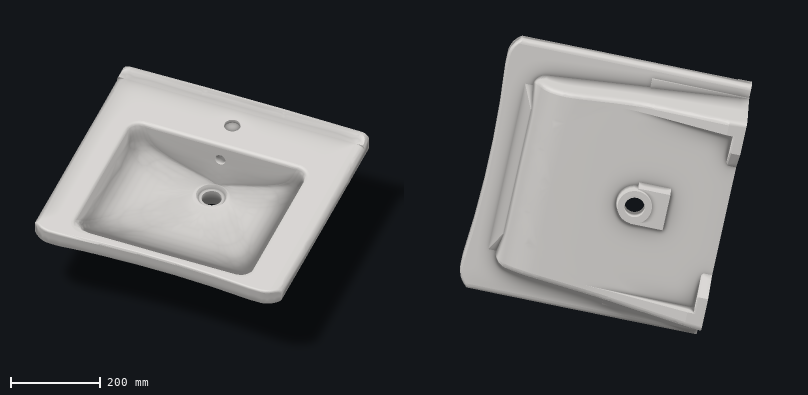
import cadquery as cq


HALF_WIDTH = 300.0
DEPTH = 549.5
HEIGHT = 180.5

MARGIN = 6.0
PICK = 0.5

DECK_Z = -12.0
ROLL_Z = -34.0
RIM_BOTTOM_Z = -53.0
DECK_HALF_WIDTH = 276.0
RIM_FOOT_HALF_WIDTH = 287.0
BACK_HALF_WIDTH = 297.5
FRONT_CORNER_Y = -527.0
CORNER_END_X = 252.0
RECESS_HALF_WIDTH = 228.0
FRONT_RECESS = 11.0
FRONT_EDGE_RADIUS = 5.5

RIDGE_THICKNESS = 5.0
RIDGE_FOOT = 32.0
RIDGE_END_DROP = 3.0
RIDGE_SLOPE = (-0.5, -1)

BODY_TOP_Z = RIM_BOTTOM_Z + MARGIN
BODY_BACK_HALF_WIDTH = 270.0
BODY_FRONT_HALF_WIDTH = 225.5
BODY_FRONT_Y = -481.0
SIDE_DRAFT = 21.0
BOWL_BOTTOM_Z = -134.0
LEG_FOOT_LENGTH = 39.0
LEG_TOP = (-216.0, -141.0)
BOWL_UNDERSIDE = [
    (-276.0, BOWL_BOTTOM_Z), (-360.0, -133.0), (-427.0, -125.0), (-458.0, -104.5), (-475.0, -69.0),
]
BODY_CORNER_RADIUS = 30.0
BODY_EDGE_RADIUS = 12.0
BODY_EDGE_TOP_Z = -114.0

LEG_INNER_X = 212.0
BACK_WALL = 24.0
LEG_SPACE_END_Y = -300.0
OPENING_BOTTOM_X = 172.0
OPENING_TOP_X = 129.0
OPENING_CHAMFER = 3.5

WEB_TOP_HALF_WIDTH = 198.0
WEB_BOTTOM_HALF_WIDTH = 150.0
WEB_FRONT_Y = -498.0
WEB_FOOT_Y = -475.0
WEB_BACK_Y = -456.0
WEB_BOTTOM_Z = -76.0
LEDGE_LENGTH = 222.0
LEDGE_BOTTOM_Z = -58.0

BOWL_SECTIONS = [
    (DECK_Z, 216.5, -150.0, -523.0, 27.0),
    (-42.0, 207.5, -153.5, -493.0, 33.0),
    (-74.5, 186.0, -157.0, -450.0, 42.0),
    (-101.0, 123.0, -162.0, -366.0, 54.0),
    (-119.0, 42.0, -168.0, -246.0, 36.0),
]
BOWL_LIP_RADIUS = 9.5

DRAIN_Y = -205.0
DRAIN_RADIUS = 23.0
DRAIN_SEAT_RADIUS = 38.0
DRAIN_SEAT_FLOOR_RADIUS = 30.0
DRAIN_SEAT_Z = -127.0
DRAIN_SEAT_TOP_Z = -116.0
BOSS_RADIUS = 38.5
BOSS_TOP_RADIUS = 42.0
BOSS_BOTTOM_Z = -168.0
BOSS_OVERLAP = 3.0
CHANNEL_HALF_WIDTH = 50.0
CHANNEL_FOOT_HALF_WIDTH = 42.0
CHANNEL_BACK_Y = -132.0
CHANNEL_BOTTOM_Z = -158.5
OVERFLOW_DIAMETER = 25.0
OVERFLOW_Z = -53.0
OVERFLOW_BACK_Y = -132.0
OVERFLOW_LENGTH = 30.0
TAP_Y = -81.5
TAP_DIAMETER = 37.0
TAP_DEPTH = 9.0


def rim_plan():
    """Plan outline of the rim: bulged sides, rounded corners, recessed front."""
    return (
        cq.Workplane("XY").workplane(offset=-HEIGHT)
        .moveTo(-BACK_HALF_WIDTH, 0)
        .lineTo(BACK_HALF_WIDTH, 0)
        .threePointArc((HALF_WIDTH, FRONT_CORNER_Y / 2), (BACK_HALF_WIDTH, FRONT_CORNER_Y))
        .spline([(CORNER_END_X, -DEPTH)], tangents=[(-1, -1), (-1, 0)], includeCurrent=True)
        .lineTo(RECESS_HALF_WIDTH, -DEPTH)
        .threePointArc((0, FRONT_RECESS - DEPTH), (-RECESS_HALF_WIDTH, -DEPTH))
        .lineTo(-CORNER_END_X, -DEPTH)
        .spline([(-BACK_HALF_WIDTH, FRONT_CORNER_Y)], tangents=[(-1, 0), (-1, 1)], includeCurrent=True)
        .threePointArc((-HALF_WIDTH, FRONT_CORNER_Y / 2), (-BACK_HALF_WIDTH, 0))
        .close()
        .extrude(HEIGHT)
    )


def rolled_section(edge_z, crown_z, length):
    """Bar along -Y with rolled sides; its top arches from edge_z up to crown_z."""
    section = cq.Workplane("XZ").moveTo(-DECK_HALF_WIDTH, edge_z)
    if crown_z > edge_z:
        section = section.threePointArc((0, crown_z), (DECK_HALF_WIDTH, edge_z))
    else:
        section = section.lineTo(DECK_HALF_WIDTH, edge_z)
    return (
        section
        .spline([(HALF_WIDTH, ROLL_Z)], tangents=[(1, 0), (0, -1)], includeCurrent=True)
        .spline([(RIM_FOOT_HALF_WIDTH, RIM_BOTTOM_Z)], tangents=[(0, -1), (-1, 0)], includeCurrent=True)
        .lineTo(-RIM_FOOT_HALF_WIDTH, RIM_BOTTOM_Z)
        .spline([(-HALF_WIDTH, ROLL_Z)], tangents=[(-1, 0), (0, 1)], includeCurrent=True)
        .spline([(-DECK_HALF_WIDTH, edge_z)], tangents=[(0, 1), (1, 0)], includeCurrent=True)
        .close()
        .extrude(length)
    )


def rim():
    plan = rim_plan()
    slab = rolled_section(DECK_Z, DECK_Z, DEPTH).intersect(plan)
    front_edges = cq.selectors.BoxSelector(
        (-RECESS_HALF_WIDTH - MARGIN, -DEPTH - MARGIN, RIM_BOTTOM_Z - PICK),
        (RECESS_HALF_WIDTH + MARGIN, FRONT_CORNER_Y - MARGIN, DECK_Z + PICK),
    )
    slab = slab.edges(front_edges).edges("not |Z").fillet(FRONT_EDGE_RADIUS)
    ridge_profile = (
        cq.Workplane("YZ").workplane(offset=-HALF_WIDTH)
        .moveTo(0, RIM_BOTTOM_Z)
        .lineTo(0, 0)
        .lineTo(-RIDGE_THICKNESS, 0)
        .spline([(-RIDGE_FOOT, DECK_Z)], tangents=[RIDGE_SLOPE, (-1, 0)], includeCurrent=True)
        .lineTo(-RIDGE_FOOT, RIM_BOTTOM_Z)
        .close()
        .extrude(2 * HALF_WIDTH)
    )
    ridge = rolled_section(-RIDGE_END_DROP, 0, RIDGE_FOOT).intersect(ridge_profile).intersect(plan)
    return slab.union(ridge)


def body_plan(workplane, inset):
    back_x = BODY_BACK_HALF_WIDTH - inset
    front_x = BODY_FRONT_HALF_WIDTH - inset
    return workplane.polyline(
        [(-back_x, 0), (back_x, 0), (front_x, BODY_FRONT_Y), (-front_x, BODY_FRONT_Y)]
    ).close()


def body():
    """Drafted body with a sloping underside, hollow between its legs."""
    envelope = body_plan(cq.Workplane("XY").workplane(offset=BODY_TOP_Z), 0)
    envelope = body_plan(envelope.workplane(offset=-HEIGHT - BODY_TOP_Z), SIDE_DRAFT).loft(ruled=True)
    front_corners = cq.selectors.BoxSelector(
        (-HALF_WIDTH, BODY_FRONT_Y - MARGIN, -HEIGHT + MARGIN),
        (HALF_WIDTH, BODY_FRONT_Y + MARGIN, BODY_TOP_Z - MARGIN),
    )
    envelope = envelope.edges(front_corners).fillet(BODY_CORNER_RADIUS)
    side_profile = (
        cq.Workplane("YZ").workplane(offset=-HALF_WIDTH)
        .moveTo(0, BODY_TOP_Z)
        .lineTo(0, -HEIGHT)
        .lineTo(-LEG_FOOT_LENGTH, -HEIGHT)
        .lineTo(*LEG_TOP)
        .spline([*BOWL_UNDERSIDE, (BODY_FRONT_Y, BODY_TOP_Z)], includeCurrent=True)
        .close()
        .extrude(2 * HALF_WIDTH)
    )
    solid = envelope.intersect(side_profile)
    lower_side_edges = cq.selectors.BoxSelector(
        (-HALF_WIDTH, BODY_FRONT_Y + BODY_CORNER_RADIUS, -HEIGHT - MARGIN),
        (HALF_WIDTH, -MARGIN, BODY_EDGE_TOP_Z),
    )
    solid = solid.edges(lower_side_edges).edges("not |X").fillet(BODY_EDGE_RADIUS)
    solid = solid.cut(leg_space())
    panel_edges = cq.selectors.BoxSelector(
        (-LEG_INNER_X, -BACK_WALL - PICK, -HEIGHT - PICK),
        (LEG_INNER_X, -BACK_WALL + PICK, BOWL_BOTTOM_Z - MARGIN),
    )
    return solid.edges(panel_edges).edges("not |Z").chamfer(OPENING_CHAMFER)


def front_web():
    """Sloping web between the front of the bowl and the underside of the rim."""
    front_shape = (
        cq.Workplane("XZ")
        .polyline([(-WEB_TOP_HALF_WIDTH, BODY_TOP_Z), (WEB_TOP_HALF_WIDTH, BODY_TOP_Z),
                   (WEB_TOP_HALF_WIDTH, RIM_BOTTOM_Z), (WEB_BOTTOM_HALF_WIDTH, WEB_BOTTOM_Z),
                   (-WEB_BOTTOM_HALF_WIDTH, WEB_BOTTOM_Z), (-WEB_TOP_HALF_WIDTH, RIM_BOTTOM_Z)])
        .close()
        .extrude(DEPTH)
    )
    side_shape = (
        cq.Workplane("YZ").workplane(offset=-HALF_WIDTH)
        .polyline([(WEB_BACK_Y, BODY_TOP_Z), (WEB_FRONT_Y, BODY_TOP_Z), (WEB_FRONT_Y, RIM_BOTTOM_Z),
                   (WEB_FOOT_Y, WEB_BOTTOM_Z), (WEB_BACK_Y, WEB_BOTTOM_Z)])
        .close()
        .extrude(2 * HALF_WIDTH)
    )
    return front_shape.intersect(side_shape)


def side_ledge():
    ledge_height = BODY_TOP_Z - LEDGE_BOTTOM_Z
    return cq.Workplane("XY").box(
        2 * BODY_BACK_HALF_WIDTH, LEDGE_LENGTH, ledge_height, centered=(True, False, False)
    ).translate((0, -LEDGE_LENGTH, LEDGE_BOTTOM_Z))


def leg_space():
    """Room between the legs, open downwards, and the opening in the wall panel."""
    room_length = -LEG_SPACE_END_Y - BACK_WALL
    room = cq.Workplane("XY").box(
        2 * LEG_INNER_X, room_length, HEIGHT, centered=(True, False, False)
    ).translate((0, LEG_SPACE_END_Y, BOWL_BOTTOM_Z - HEIGHT))
    opening = (
        cq.Workplane("XZ")
        .polyline([(-OPENING_BOTTOM_X, -HEIGHT), (OPENING_BOTTOM_X, -HEIGHT),
                   (OPENING_TOP_X, BOWL_BOTTOM_Z), (-OPENING_TOP_X, BOWL_BOTTOM_Z)])
        .close()
        .extrude(BACK_WALL)
    )
    return room.union(opening)


def bowl():
    """Cavity blended through rounded rectangles that shrink towards the drain."""
    sections = []
    for level, half_width, back_y, front_y, corner_radius in BOWL_SECTIONS:
        section = (
            cq.Sketch()
            .push([(0, (back_y + front_y) / 2)])
            .rect(2 * half_width, back_y - front_y)
            .reset().vertices().fillet(corner_radius)
            .moved(cq.Location(cq.Vector(0, 0, level)))
        )
        sections.append(section)
    return cq.Workplane("XY").placeSketch(*sections).loft()


def drain_boss():
    """Tapered spigot under the drain with the overflow channel leading into it."""
    boss_height = BOWL_BOTTOM_Z - BOSS_BOTTOM_Z
    spigot = (
        cq.Workplane("XY").workplane(offset=BOSS_BOTTOM_Z).center(0, DRAIN_Y)
        .circle(BOSS_RADIUS)
        .workplane(offset=boss_height + BOSS_OVERLAP)
        .circle(BOSS_TOP_RADIUS)
        .loft()
    )
    channel = (
        cq.Workplane("XZ", origin=(0, CHANNEL_BACK_Y, 0))
        .polyline([(-CHANNEL_HALF_WIDTH, BOWL_BOTTOM_Z), (CHANNEL_HALF_WIDTH, BOWL_BOTTOM_Z),
                   (CHANNEL_FOOT_HALF_WIDTH, CHANNEL_BOTTOM_Z), (-CHANNEL_FOOT_HALF_WIDTH, CHANNEL_BOTTOM_Z)])
        .close()
        .extrude(CHANNEL_BACK_Y - DRAIN_Y)
    )
    return spigot.union(channel)


def drain_hole():
    seat = (
        cq.Workplane("XY").workplane(offset=DRAIN_SEAT_Z).center(0, DRAIN_Y)
        .circle(DRAIN_SEAT_FLOOR_RADIUS)
        .workplane(offset=DRAIN_SEAT_TOP_Z - DRAIN_SEAT_Z)
        .circle(DRAIN_SEAT_RADIUS)
        .loft()
    )
    bore = (
        cq.Workplane("XY").workplane(offset=-HEIGHT).center(0, DRAIN_Y)
        .circle(DRAIN_RADIUS)
        .extrude(HEIGHT + DRAIN_SEAT_TOP_Z)
    )
    return seat.union(bore)


def tap_hole():
    return (
        cq.Workplane("XY").workplane(offset=DECK_Z - TAP_DEPTH).center(0, TAP_Y)
        .circle(TAP_DIAMETER / 2)
        .extrude(TAP_DEPTH)
    )


def overflow_hole():
    return (
        cq.Workplane("XZ", origin=(0, OVERFLOW_BACK_Y, OVERFLOW_Z))
        .circle(OVERFLOW_DIAMETER / 2)
        .extrude(OVERFLOW_LENGTH)
    )


basin = rim().union(body()).union(side_ledge()).union(front_web()).union(drain_boss())
basin = basin.cut(bowl())
bowl_mouth = cq.selectors.BoxSelector(
    (-DECK_HALF_WIDTH + MARGIN, FRONT_RECESS + FRONT_EDGE_RADIUS - DEPTH + PICK, DECK_Z - PICK),
    (DECK_HALF_WIDTH - MARGIN, -RIDGE_FOOT - MARGIN, DECK_Z + PICK),
)
basin = basin.edges(bowl_mouth).fillet(BOWL_LIP_RADIUS)
result = basin.cut(drain_hole()).cut(tap_hole()).cut(overflow_hole())